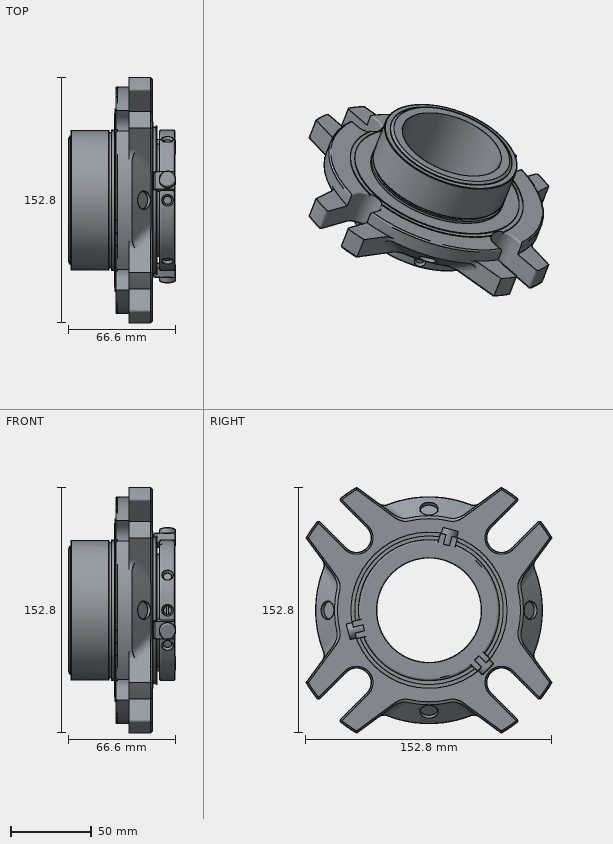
import cadquery as cq
import math


bore_d = 65.0
nose_tip_d = 76.0
nose_d = 79.8
pilot_d = 87.0
shoulder_d = 87.3
groove_d = 84.28
gasket_face_d = 107.95
step_face_d = 113.4
flange_d = 141.0
lip_d = 97.0
neck_d = 90.81
rim_d = 92.33
sleeve_d = 69.83

nose_shoulder_x = 1.5
nose_chamfer_length = 0.95
groove_start_x = 25.3
groove_end_x = 26.9
gasket_face_x = 28.5
step_face_x = 29.0
flange_x = 29.5
tab_x = 37.5
cone_x = 39.6
cone_angle = 45.0
tab_back_x = 52.1
lip_end_x = 52.6
rim_start_x = 54.4
rim_end_x = 55.2
pilot_chamfer = 0.4
flange_round = 1.0

slot_angles = (45, 135, 225, 315)
slot_half_width = 9.1
slot_center_r = 63.7
tab_end_r = 88.6
envelope = 152.75
tab_corner_offset = envelope / 2
tab_side_tilt = 8.5
tab_corner_round = 1.4
tab_root_r = 42.0
tab_root_round = 6.0
tab_back_chamfer = 1.1

port_d = 11.25
port_x = 47.0
port_depth = 2.5
port_angles = (0, 90, 180, 270)

collar_d = 87.63
collar_start_x = 56.6
collar_end_x = 66.2
collar_round = 1.4

clip_angles = (75, 195, 315)
clip_width = 11.0
clip_inner_r = 42.0
clip_outer_r = 48.1
clip_start_x = 52.9
clip_chamfer = 1.0
head_d = 10.0
head_top_r = 52.0
head_round = 0.8
part_length = 66.59
head_x = part_length - head_d / 2

seat_angles = (30, 90, 150, 180, 210, 270, 330)
seat_mouth_d = 7.2
seat_floor_d = 5.0
seat_depth = 2.0
seat_clearance = 1.0
screw_slot_angle = 180
screw_slot_width = 1.0
screw_slot_depth = 0.8


def turn(shape, angle):
    """Turn a shape about X, from +Y toward +Z."""
    return shape.rotate((0, 0, 0), (1, 0, 0), angle)


def ring(start_x, end_x, diameter):
    return cq.Workplane("YZ").workplane(offset=start_x).circle(diameter / 2).extrude(end_x - start_x)


def make_nose():
    tip_chamfer = (nose_d - nose_tip_d) / 2
    nose = ring(0, groove_start_x, nose_d).faces("<X").chamfer(nose_chamfer_length, tip_chamfer)
    pilot = ring(nose_shoulder_x, groove_start_x, pilot_d).faces("<X or >X").chamfer(pilot_chamfer)
    groove = ring(groove_start_x, groove_end_x, groove_d)
    shoulder = ring(groove_end_x, gasket_face_x, shoulder_d)
    return nose.union(pilot).union(groove).union(shoulder)


def make_flange_disc():
    disc = ring(flange_x, cone_x, flange_d)
    cone_drop = (tab_back_x - cone_x) * math.tan(math.radians(cone_angle))
    cone = (
        cq.Workplane("XY")
        .moveTo(cone_x, 0)
        .lineTo(cone_x, flange_d / 2)
        .lineTo(tab_back_x, flange_d / 2 - cone_drop)
        .lineTo(tab_back_x, 0)
        .close()
        .revolve(360, (0, 0, 0), (1, 0, 0))
    )
    return disc.union(cone)


def make_tab_pair():
    """One trapezoid about +Y; the bolt slot later splits it into two tabs."""
    corner_angle = math.asin(tab_corner_offset / tab_end_r) - math.radians(slot_angles[0])
    corner_y = tab_end_r * math.cos(corner_angle)
    corner_z = tab_end_r * math.sin(corner_angle)
    root_z = corner_z + (corner_y - tab_root_r) * math.tan(math.radians(tab_side_tilt))
    return (
        cq.Workplane("YZ")
        .workplane(offset=tab_x)
        .moveTo(tab_root_r, -root_z)
        .lineTo(corner_y, -corner_z)
        .threePointArc((tab_end_r, 0), (corner_y, corner_z))
        .lineTo(tab_root_r, root_z)
        .close()
        .extrude(tab_back_x - tab_x)
    )


def make_slot():
    length = tab_back_x - gasket_face_x
    round_end = cq.Workplane("YZ").center(slot_center_r, 0).circle(slot_half_width).extrude(length)
    straight = cq.Workplane("YZ").center(slot_center_r, -slot_half_width)
    straight = straight.rect(tab_end_r, 2 * slot_half_width, centered=False).extrude(length)
    return round_end.union(straight).translate((gasket_face_x, 0, 0))


def is_tab_root(edge):
    """True for the concave edges where a tab side meets the disc or its cone."""
    box = edge.BoundingBox()
    middle = edge.Center()
    runs_along_x = box.xlen > (cone_x - tab_x) / 2
    inside_disc = math.hypot(middle.y, middle.z) < (flange_d / 2 + tab_end_r) / 2
    return box.xmin > (flange_x + tab_x) / 2 and runs_along_x and inside_disc


def is_tip_beside_slot(edge):
    """True for the edges where a tab end meets the bolt slot."""
    middle = edge.Center()
    inset = abs(abs(middle.y) - abs(middle.z)) / math.sqrt(2)
    at_tab_end = math.hypot(middle.y, middle.z) > tab_end_r - tab_corner_round
    return at_tab_end and inset < slot_half_width + tab_corner_round


def make_port():
    """Bore across +Y, tipped so that it enters square to the cone."""
    surface_r = flange_d / 2 - (port_x - cone_x) * math.tan(math.radians(cone_angle))
    drill = cq.Workplane("XZ").circle(port_d / 2).extrude(port_depth, both=True)
    return drill.rotate((0, 0, 0), (0, 0, 1), -cone_angle).translate((port_x, surface_r, 0))


def cut_slots(body):
    for angle in slot_angles:
        body = body.cut(turn(make_slot(), angle))
    return body


def make_flange():
    flange = make_flange_disc()
    for angle in slot_angles:
        flange = flange.union(turn(make_tab_pair(), angle))
    root_edges = [edge for edge in flange.edges().vals() if is_tab_root(edge)]
    flange = flange.newObject(root_edges).fillet(tab_root_round)

    flange = cut_slots(flange)
    flange = flange.faces("<X").edges().fillet(flange_round)

    gasket_faces = ring(gasket_face_x, step_face_x, gasket_face_d)
    gasket_faces = gasket_faces.union(ring(step_face_x, flange_x + flange_round, step_face_d))
    flange = flange.union(cut_slots(gasket_faces))

    tip_edges = [edge for edge in flange.edges("|X").vals() if is_tip_beside_slot(edge)]
    flange = flange.newObject(tip_edges).fillet(tab_corner_round)
    flange = flange.faces(">X").chamfer(tab_back_chamfer)
    for angle in port_angles:
        flange = flange.cut(turn(make_port(), angle))
    return flange


def make_sleeve():
    lip = ring(tab_back_x, lip_end_x, lip_d)
    neck = ring(lip_end_x, rim_start_x, neck_d)
    rim = ring(rim_start_x, rim_end_x, rim_d)
    sleeve = ring(rim_end_x, collar_end_x, sleeve_d)
    return lip.union(neck).union(rim).union(sleeve)


def make_seat(angle):
    """Conical set screw seat cut into the collar, built along +Y."""
    floor_y = collar_d / 2 - seat_depth
    taper = (seat_mouth_d - seat_floor_d) / 2
    seat = (
        cq.Workplane("XY")
        .moveTo(0, floor_y)
        .lineTo(seat_floor_d / 2, floor_y)
        .lineTo(seat_floor_d / 2 + taper, floor_y + seat_depth)
        .lineTo(seat_floor_d / 2 + taper, floor_y + seat_depth + seat_clearance)
        .lineTo(0, floor_y + seat_depth + seat_clearance)
        .close()
        .revolve(360, (0, 0, 0), (0, 1, 0))
    )
    if angle == screw_slot_angle:
        slot = cq.Workplane("XY").box(screw_slot_width, 2 * screw_slot_depth, seat_floor_d)
        seat = seat.union(slot.translate((0, floor_y, 0)))
    return turn(seat.translate((head_x, 0, 0)), angle)


def make_collar():
    collar = ring(collar_start_x, collar_end_x, collar_d).edges().fillet(collar_round)
    for angle in seat_angles:
        collar = collar.cut(make_seat(angle))
    return collar


def make_clip():
    """Block bridging the sleeve rim and the collar, with its cap screw head, along +Y."""
    length = collar_end_x - clip_start_x
    height = clip_outer_r - clip_inner_r
    block = cq.Workplane("XY").box(length, height, clip_width, centered=(False, False, True))
    block = block.translate((clip_start_x, clip_inner_r, 0))
    block = block.edges("<X and >Y").chamfer(clip_chamfer)
    head = cq.Workplane("XZ").circle(head_d / 2).extrude(clip_inner_r - head_top_r)
    head = head.faces(">Y").edges().fillet(head_round)
    return block.union(head.translate((head_x, clip_inner_r, 0)))


result = make_nose().union(make_flange()).union(make_sleeve()).union(make_collar())
for angle in clip_angles:
    result = result.union(turn(make_clip(), angle))
bore = ring(0, part_length, bore_d)
result = result.cut(bore)